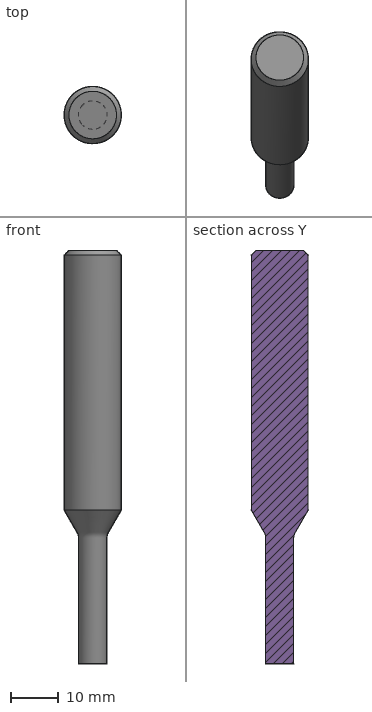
import cadquery as cq
import math

total_length = 86.5
shank_diameter = 12.0
tip_diameter = 6.0
shank_length = 54.3
end_chamfer = 1.0
taper_half_angle = math.radians(30)
neck_blend_radius = 2.0

shank_radius = shank_diameter / 2
tip_radius = tip_diameter / 2
shoulder_z = total_length - shank_length
taper_height = (shank_radius - tip_radius) / math.tan(taper_half_angle)
taper_corner_z = shoulder_z - taper_height

blend_tangent = neck_blend_radius * math.tan(taper_half_angle / 2)
blend_start = (tip_radius, taper_corner_z - blend_tangent)
blend_center_r = tip_radius + neck_blend_radius


def blend_point(angle):
    """Point on the neck blend, turned by angle from the end of the tip."""
    return (
        blend_center_r - neck_blend_radius * math.cos(angle),
        blend_start[1] + neck_blend_radius * math.sin(angle),
    )


result = (
    cq.Workplane("XZ")
    .lineTo(tip_radius, 0)
    .lineTo(*blend_start)
    .threePointArc(blend_point(taper_half_angle / 2), blend_point(taper_half_angle))
    .lineTo(shank_radius, shoulder_z)
    .lineTo(shank_radius, total_length - end_chamfer)
    .lineTo(shank_radius - end_chamfer, total_length)
    .lineTo(0, total_length)
    .close()
    .revolve(360, (0, 0, 0), (0, 1, 0))
)